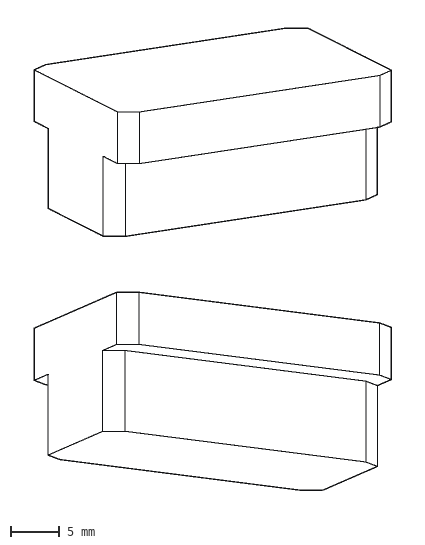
import cadquery as cq
import math

length = 32.0
head_width = 20.0
stem_width = 14.0
total_height = 14.0
head_height = 5.5
stem_height = total_height - head_height

corner_length = 2.0
corner_angle = 30.0
corner_width = corner_length * math.tan(math.radians(corner_angle))


def cut_corner_block(width, height, base_z):
    """Block centred on the Z axis with its four upright corners cut off."""
    block = cq.Workplane("XY").workplane(offset=base_z).rect(width, length).extrude(height)
    for side_x in (-1, 1):
        for side_y in (-1, 1):
            corner_x = side_x * width / 2
            corner_y = side_y * length / 2
            corner = (
                cq.Workplane("XY")
                .workplane(offset=base_z)
                .moveTo(corner_x, corner_y)
                .lineTo(corner_x - side_x * corner_width, corner_y)
                .lineTo(corner_x, corner_y - side_y * corner_length)
                .close()
                .extrude(height)
            )
            block = block.cut(corner)
    return block


stem = cut_corner_block(stem_width, stem_height, 0)
head = cut_corner_block(head_width, head_height, stem_height)
result = stem.union(head)